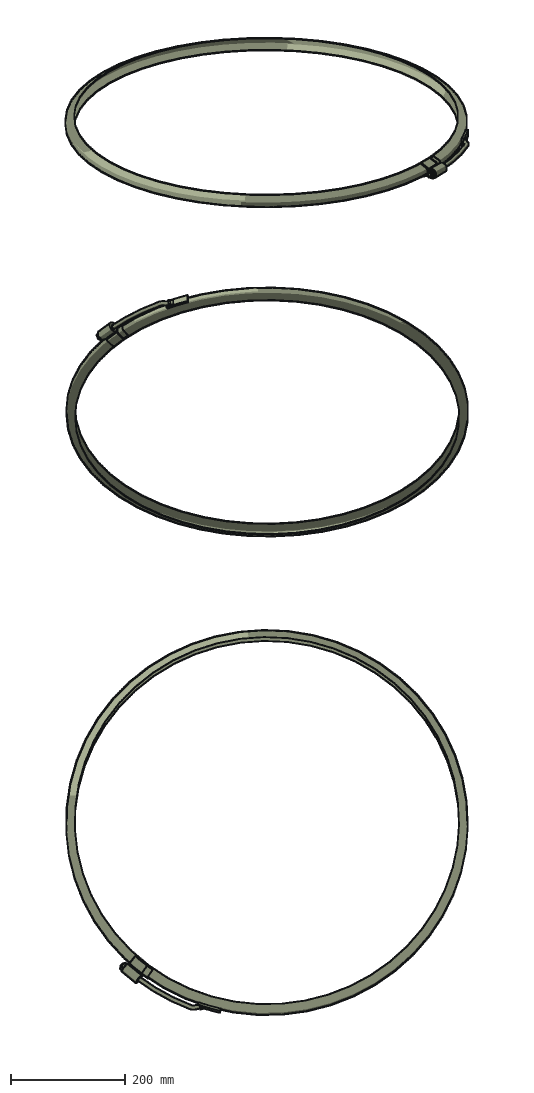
import cadquery as cq
import math

RING_DIAMETER = 703.0
RING_RADIUS = RING_DIAMETER / 2
RING_INNER_RADIUS = 336.0
RING_HALF_HEIGHT = 12.0
WEB_HALF_HEIGHT = 5.4
RING_SHEET = 1.5
RING_BEND_RADIUS = 3.0

LATCH_ANGLE = -2.6

SADDLE_THICKNESS = 2.5
SADDLE_INNER_RADIUS = 338.0
SADDLE_ARC = 4.6
TONGUE_THICKNESS = 1.0
TONGUE_ARC = 2.0

BARREL_DIAMETER = 18.0
BARREL_LENGTH = 32.5
NECK_HALF_HEIGHT = 6.0
NECK_LENGTH = 26.0
NUT_ACROSS_FLATS = 13.0
NUT_THICKNESS = 6.0
NUT_CHAMFER = 0.9

BOLT_DIAMETER = 8.0
BOLT_STANDOFF = 11.5
BOLT_RADIUS_FROM_AXIS = RING_RADIUS + BOLT_STANDOFF
BOLT_PAST_NUT = 1.5
BOLT_ARC_ANGLE = 16.5
BEND_RADIUS = 11.0
BEND_ANGLE = 35.0
HOOK_LENGTH = 11.5

TAB_START_ANGLE = 18.0
TAB_END_ANGLE = 24.6
TAB_THICKNESS = 4.0
TAB_HALF_HEIGHT = 6.5
LUG_DEPTH = 9.0
LUG_REACH = 3.0
LUG_WIDTH = 9.5
LUG_HALF_HEIGHT = 4.7

LEG_RUN = RING_RADIUS - RING_INNER_RADIUS
LEG_RISE = RING_HALF_HEIGHT - WEB_HALF_HEIGHT
LEG_ANGLE = math.atan2(LEG_RISE, LEG_RUN)


def polar(radius, angle, centre=(0, 0)):
    """Point in the XY plane at a radius and an angle in degrees around a centre."""
    turn = math.radians(angle)
    return centre[0] + radius * math.cos(turn), centre[1] + radius * math.sin(turn)


def rotate_about_z(part, angle):
    return part.rotate((0, 0, 0), (0, 0, 1), angle)


def upper_surface(end_radius, offset):
    """(r, z) points of a surface parallel to the outside of the ring's upper half.

    They run from the leg's inner end to the bend: leg end, bend start, bend middle, bend end.
    """
    bend_radius = RING_BEND_RADIUS + offset
    corner_r = RING_RADIUS + offset
    corner_z = WEB_HALF_HEIGHT + offset * (1 - math.sin(LEG_ANGLE)) / math.cos(LEG_ANGLE)
    web_to_leg = math.pi / 2 - LEG_ANGLE
    tangent = bend_radius * math.tan(web_to_leg / 2)
    centre_r = corner_r - bend_radius
    centre_z = corner_z - tangent

    def on_bend(angle):
        return centre_r + bend_radius * math.cos(angle), centre_z + bend_radius * math.sin(angle)

    leg_end = (end_radius, corner_z + (corner_r - end_radius) * math.tan(LEG_ANGLE))
    return leg_end, on_bend(web_to_leg), on_bend(web_to_leg / 2), on_bend(0)


def v_sheet(end_radius, inner_offset, outer_offset, start_angle, end_angle):
    """V-shaped sheet between two surfaces parallel to the outside of the ring, swept about Z."""

    def mirrored(points):
        return [(r, -z) for r, z in points]

    upper_out = upper_surface(end_radius, outer_offset)
    upper_in = upper_surface(end_radius, inner_offset)
    lower_out = mirrored(upper_out)
    lower_in = mirrored(upper_in)
    section = (
        cq.Workplane("XZ")
        .moveTo(*upper_out[0])
        .lineTo(*upper_out[1])
        .threePointArc(*upper_out[2:])
        .lineTo(*lower_out[3])
        .threePointArc(lower_out[2], lower_out[1])
        .lineTo(*lower_out[0])
        .lineTo(*lower_in[0])
        .lineTo(*lower_in[1])
        .threePointArc(*lower_in[2:])
        .lineTo(*upper_in[3])
        .threePointArc(upper_in[2], upper_in[1])
        .lineTo(*upper_in[0])
        .close()
    )
    sheet = section.revolve(end_angle - start_angle, (0, 0), (0, 1))
    return rotate_about_z(sheet, start_angle)


def ring_cylinder():
    """Solid cylinder of the ring's outer size, for trimming what is joined on from outside."""
    return cq.Workplane("XY").circle(RING_RADIUS).extrude(RING_HALF_HEIGHT, both=True)


def latch_plane(y):
    """Plane across the barrel axis, before the latch is turned to its angle; it extrudes to -Y."""
    return cq.Workplane("XZ", origin=(BOLT_RADIUS_FROM_AXIS, y, 0))


def ring_body():
    return v_sheet(RING_INNER_RADIUS, -RING_SHEET, 0, 0, 360)


def saddle_body(bolt):
    half_arc = SADDLE_ARC / 2
    plate = v_sheet(SADDLE_INNER_RADIUS, 0, SADDLE_THICKNESS, -half_arc, half_arc)
    tongue = v_sheet(SADDLE_INNER_RADIUS, 0, TONGUE_THICKNESS, half_arc, half_arc + TONGUE_ARC)
    neck_start = RING_RADIUS + SADDLE_THICKNESS / 2
    neck = cq.Workplane("XY", origin=(neck_start, 0, 0)).box(
        BOLT_RADIUS_FROM_AXIS - neck_start,
        NECK_LENGTH,
        2 * NECK_HALF_HEIGHT,
        centered=(False, True, True),
    )
    barrel = latch_plane(BARREL_LENGTH / 2).circle(BARREL_DIAMETER / 2).extrude(BARREL_LENGTH)
    saddle = plate.union(tongue).union(neck).union(barrel)
    return rotate_about_z(saddle, LATCH_ANGLE).cut(bolt)


def nut_body(bolt):
    corner_diameter = NUT_ACROSS_FLATS / math.cos(math.pi / 6)
    blank = latch_plane(-BARREL_LENGTH / 2).polygon(6, corner_diameter).extrude(NUT_THICKNESS)
    nut = blank.faces("<Y").chamfer(NUT_CHAMFER)
    return rotate_about_z(nut, LATCH_ANGLE).cut(bolt)


bend_end_angle = BOLT_ARC_ANGLE + BEND_ANGLE
hook_direction = bend_end_angle + 90
bend_centre = polar(BOLT_RADIUS_FROM_AXIS - BEND_RADIUS, BOLT_ARC_ANGLE)
bend_end = polar(BEND_RADIUS, bend_end_angle, bend_centre)
hook_end = polar(HOOK_LENGTH, hook_direction, bend_end)


def bolt_body():
    rear_length = BARREL_LENGTH / 2 + NUT_THICKNESS + BOLT_PAST_NUT
    rear_angle = LATCH_ANGLE - math.degrees(rear_length / BOLT_RADIUS_FROM_AXIS)
    path = (
        cq.Workplane("XY")
        .moveTo(*polar(BOLT_RADIUS_FROM_AXIS, rear_angle))
        .threePointArc((BOLT_RADIUS_FROM_AXIS, 0), polar(BOLT_RADIUS_FROM_AXIS, BOLT_ARC_ANGLE))
        .threePointArc(polar(BEND_RADIUS, BOLT_ARC_ANGLE + BEND_ANGLE / 2, bend_centre), bend_end)
        .lineTo(*hook_end)
    )
    rear_plane = cq.Plane(
        origin=(*polar(BOLT_RADIUS_FROM_AXIS, rear_angle), 0),
        xDir=(0, 0, 1),
        normal=(*polar(1, rear_angle + 90), 0),
    )
    return cq.Workplane(rear_plane).circle(BOLT_DIAMETER / 2).sweep(path)


def tab_body(bolt):
    section = (
        cq.Workplane("XZ")
        .moveTo(RING_RADIUS, -TAB_HALF_HEIGHT)
        .hLine(TAB_THICKNESS)
        .vLine(2 * TAB_HALF_HEIGHT)
        .hLine(-TAB_THICKNESS)
        .close()
    )
    plate = section.revolve(TAB_END_ANGLE - TAB_START_ANGLE, (0, 0), (0, 1))
    lug = (
        cq.Workplane("XY")
        .box(LUG_DEPTH + LUG_REACH, LUG_WIDTH, 2 * LUG_HALF_HEIGHT)
        .translate(((LUG_DEPTH - LUG_REACH) / 2, 0, 0))
    )
    lug = rotate_about_z(lug, hook_direction).translate((*hook_end, 0)).cut(ring_cylinder())
    return rotate_about_z(plate, TAB_START_ANGLE).union(lug).cut(bolt)


ring = ring_body()
bolt = bolt_body()
saddle = saddle_body(bolt)
nut = nut_body(bolt)
tab = tab_body(bolt)

result = cq.Compound.makeCompound([ring.val(), saddle.val(), bolt.val(), nut.val(), tab.val()])